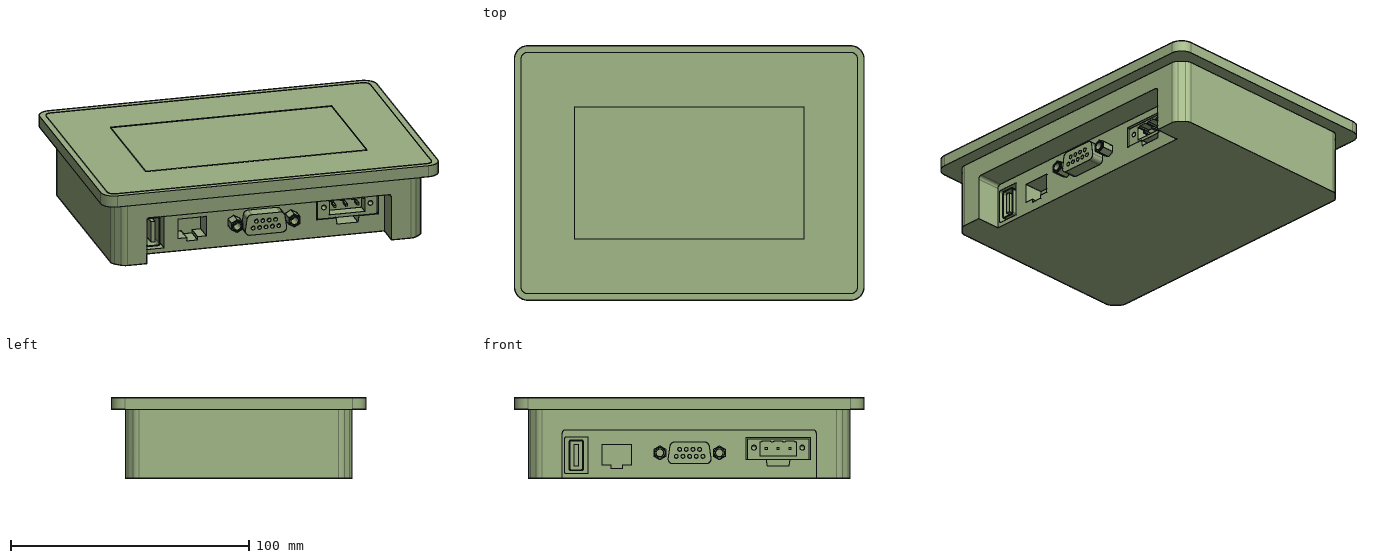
import cadquery as cq

BEZEL_X, BEZEL_Y, HEIGHT = 147.0, 107.0, 34.0
BEZEL_THICKNESS = 5.0
BEZEL_RADIUS = 5.7
RIM_WIDTH = 2.8
MEMBRANE_DEPTH = 0.1
SCREEN_X, SCREEN_Y = 96.5, 55.3
SCREEN_DEPTH = 0.3

OVERHANG = 5.9
HOUSING_X = BEZEL_X - 2 * OVERHANG
HOUSING_Y = BEZEL_Y - 2 * OVERHANG
HOUSING_CHAMFER = 4.3
HOUSING_BLEND = 3.5

BAY_WIDTH, BAY_HEIGHT, BAY_DEPTH = 106.7, 20.5, 11.3
BAY_RADIUS = 1.5
WALL_Y = -HOUSING_Y / 2 + BAY_DEPTH

USB_X, USB_Z, USB_DEPTH = -47.5, 9.7, 8.8
USB_OPENING_WIDTH, USB_OPENING_HEIGHT = 9.7, 15.5
USB_OPENING_RADIUS = 0.6
USB_SHELL_WIDTH, USB_SHELL_HEIGHT = 6.0, 13.0
USB_SHELL_WALL = 0.37
USB_SHELL_RADIUS = 0.9
USB_TONGUE_WIDTH, USB_TONGUE_HEIGHT = 1.8, 9.1

LAN_X, LAN_BOTTOM, LAN_DEPTH = -30.5, 5.6, 8.8
LAN_WIDTH, LAN_HEIGHT = 12.3, 8.7
LAN_LATCH_WIDTH, LAN_LATCH_DROP = 4.7, 1.5

SERIAL_X, SERIAL_Z, SERIAL_REACH = 0.1, 10.7, 5.9
SERIAL_TOP_WIDTH, SERIAL_BOTTOM_WIDTH, SERIAL_HEIGHT = 16.0, 18.7, 9.1
SERIAL_RADIUS = 2.0
CONTACT_DIAMETER, CONTACT_DEPTH = 1.6, 3.0
CONTACT_PITCH, CONTACT_ROW_PITCH = 2.8, 3.0
UPPER_CONTACTS, LOWER_CONTACTS = 4, 5

JACK_OFFSET, JACK_REACH = 12.5, 5.9
JACK_ACROSS_FLATS = 5.0
JACK_COLLAR_DIAMETER, JACK_COLLAR_LENGTH = 4.4, 0.3
JACK_HOLE_DIAMETER = 3.2

POWER_X, POWER_BOTTOM, POWER_DEPTH = 37.3, 8.0, 8.8
POWER_WIDTH, POWER_HEIGHT = 27.0, 9.3
POWER_GAP = 0.6
POWER_FACE_DEPTH = 0.6
SOCKET_WIDTH, SOCKET_HEIGHT, SOCKET_DEPTH = 15.5, 5.9, 5.9
SOCKET_BOTTOM = 9.4
CROWN_BASE, CROWN_TOP, CROWN_RISE = 4.3, 3.1, 0.5
POLE_COUNT, POLE_PITCH = 3, 5.0
PIN_SIZE, PIN_LENGTH, PIN_Z = 0.9, 4.4, 12.6
SCREW_DIAMETER, SCREW_DEPTH = 2.0, 1.0
SCREW_OFFSET, SCREW_Z = 10.1, 13.0
NOTCH_TOP_WIDTH, NOTCH_BOTTOM_WIDTH, NOTCH_DROP = 10.0, 9.1, 2.8


def plate(width, length, z_bottom, z_top):
    """A block centred on the Z axis."""
    return cq.Workplane("XY", origin=(0, 0, z_bottom)).rect(width, length).extrude(z_top - z_bottom)


def wall_plane(x, z, depth=0.0):
    """A sketch plane at 'depth' behind the bay wall; positive extrusions run toward -Y."""
    return cq.Workplane("XZ", origin=(x, WALL_Y + depth, z))


def trapezoid(plane, base_width, end_width, height):
    """An outline whose base is centred on the plane origin; a negative height points down."""
    base, end = base_width / 2, end_width / 2
    return plane.polyline([(-base, 0), (base, 0), (end, height), (-end, height)]).close()


def row(count, pitch, z=0.0):
    """Evenly spaced points on a line along X, centred on the plane origin."""
    return [((i - (count - 1) / 2) * pitch, z) for i in range(count)]


def make_bezel():
    membrane_z = HEIGHT - MEMBRANE_DEPTH
    bezel = plate(BEZEL_X, BEZEL_Y, HEIGHT - BEZEL_THICKNESS, HEIGHT).edges("|Z").fillet(BEZEL_RADIUS)
    membrane = plate(BEZEL_X - 2 * RIM_WIDTH, BEZEL_Y - 2 * RIM_WIDTH, membrane_z, HEIGHT)
    membrane = membrane.edges("|Z").fillet(BEZEL_RADIUS - RIM_WIDTH)
    screen = plate(SCREEN_X, SCREEN_Y, membrane_z - SCREEN_DEPTH, HEIGHT)
    return bezel.cut(membrane).cut(screen)


def make_housing():
    housing = plate(HOUSING_X, HOUSING_Y, 0, HEIGHT - BEZEL_THICKNESS)
    housing = housing.edges("|Z").chamfer(HOUSING_CHAMFER)
    housing = housing.edges("|Z").fillet(HOUSING_BLEND)
    bay = wall_plane(0, 0).rect(BAY_WIDTH, 2 * BAY_HEIGHT).extrude(BAY_DEPTH)
    return housing.cut(bay.edges("|Y").fillet(BAY_RADIUS))


def add_usb_socket(body):
    floor = wall_plane(USB_X, USB_Z, USB_DEPTH)
    opening = floor.rect(USB_OPENING_WIDTH, USB_OPENING_HEIGHT).extrude(USB_DEPTH)
    opening = opening.edges("|Y and <X").fillet(USB_OPENING_RADIUS)
    shell = floor.rect(USB_SHELL_WIDTH, USB_SHELL_HEIGHT).extrude(USB_DEPTH)
    shell = shell.edges("|Y").fillet(USB_SHELL_RADIUS)
    shell = shell.faces("<Y").shell(-USB_SHELL_WALL)
    tongue = floor.rect(USB_TONGUE_WIDTH, USB_TONGUE_HEIGHT).extrude(USB_DEPTH)
    return body.cut(opening).union(shell).union(tongue)


def cut_lan_socket(body):
    middle = wall_plane(LAN_X, LAN_BOTTOM + LAN_HEIGHT / 2, LAN_DEPTH)
    opening = middle.rect(LAN_WIDTH, LAN_HEIGHT).extrude(LAN_DEPTH)
    lower_edge = wall_plane(LAN_X, LAN_BOTTOM, LAN_DEPTH)
    latch = lower_edge.rect(LAN_LATCH_WIDTH, 2 * LAN_LATCH_DROP).extrude(LAN_DEPTH)
    return body.cut(opening).cut(latch)


def add_serial_connector(body):
    base = wall_plane(SERIAL_X, SERIAL_Z - SERIAL_HEIGHT / 2)
    block = trapezoid(base, SERIAL_BOTTOM_WIDTH, SERIAL_TOP_WIDTH, SERIAL_HEIGHT).extrude(SERIAL_REACH)
    block = block.edges("|Y").fillet(SERIAL_RADIUS)
    contacts = row(UPPER_CONTACTS, CONTACT_PITCH, CONTACT_ROW_PITCH / 2)
    contacts += row(LOWER_CONTACTS, CONTACT_PITCH, -CONTACT_ROW_PITCH / 2)
    hole_floor = wall_plane(SERIAL_X, SERIAL_Z, CONTACT_DEPTH - SERIAL_REACH)
    holes = hole_floor.pushPoints(contacts).circle(CONTACT_DIAMETER / 2).extrude(CONTACT_DEPTH)
    return body.union(block.cut(holes))


def add_jackscrews(body):
    for side in (-1, 1):
        base = wall_plane(SERIAL_X + side * JACK_OFFSET, SERIAL_Z)
        hexagon = base.polygon(6, JACK_ACROSS_FLATS, circumscribed=True)
        jack = hexagon.extrude(JACK_REACH - JACK_COLLAR_LENGTH)
        jack = jack.union(base.circle(JACK_COLLAR_DIAMETER / 2).extrude(JACK_REACH))
        jack = jack.cut(base.circle(JACK_HOLE_DIAMETER / 2).extrude(JACK_REACH))
        body = body.union(jack)
    return body


def make_power_block():
    width, height = POWER_WIDTH - 2 * POWER_GAP, POWER_HEIGHT - POWER_GAP
    floor = wall_plane(POWER_X, POWER_BOTTOM + height / 2, POWER_DEPTH)
    block = floor.rect(width, height).extrude(POWER_DEPTH - POWER_FACE_DEPTH)

    socket_middle = SOCKET_BOTTOM + SOCKET_HEIGHT / 2
    socket = wall_plane(POWER_X, socket_middle, SOCKET_DEPTH)
    block = block.cut(socket.rect(SOCKET_WIDTH, SOCKET_HEIGHT).extrude(SOCKET_DEPTH))
    for offset, _ in row(POLE_COUNT, POLE_PITCH):
        crown = wall_plane(POWER_X + offset, SOCKET_BOTTOM + SOCKET_HEIGHT, SOCKET_DEPTH)
        block = block.cut(trapezoid(crown, CROWN_BASE, CROWN_TOP, CROWN_RISE).extrude(SOCKET_DEPTH))
        pin = wall_plane(POWER_X + offset, PIN_Z, SOCKET_DEPTH)
        block = block.union(pin.rect(PIN_SIZE, PIN_SIZE).extrude(PIN_LENGTH))

    for side in (-1, 1):
        center = cq.Vector(POWER_X + side * SCREW_OFFSET, WALL_Y + POWER_FACE_DEPTH, SCREW_Z)
        dimple = cq.Solid.makeCone(SCREW_DIAMETER / 2, 0, SCREW_DEPTH, center, cq.Vector(0, 1, 0))
        block = block.cut(cq.Workplane(dimple))
    return block


def add_power_connector(body):
    floor = wall_plane(POWER_X, POWER_BOTTOM + POWER_HEIGHT / 2, POWER_DEPTH)
    opening = floor.rect(POWER_WIDTH, POWER_HEIGHT).extrude(POWER_DEPTH)
    lower_edge = wall_plane(POWER_X, POWER_BOTTOM, POWER_DEPTH)
    notch = trapezoid(lower_edge, NOTCH_TOP_WIDTH, NOTCH_BOTTOM_WIDTH, -NOTCH_DROP).extrude(POWER_DEPTH)
    return body.cut(opening).cut(notch).union(make_power_block())


result = make_bezel().union(make_housing())
result = add_usb_socket(result)
result = cut_lan_socket(result)
result = add_serial_connector(result)
result = add_jackscrews(result)
result = add_power_connector(result)